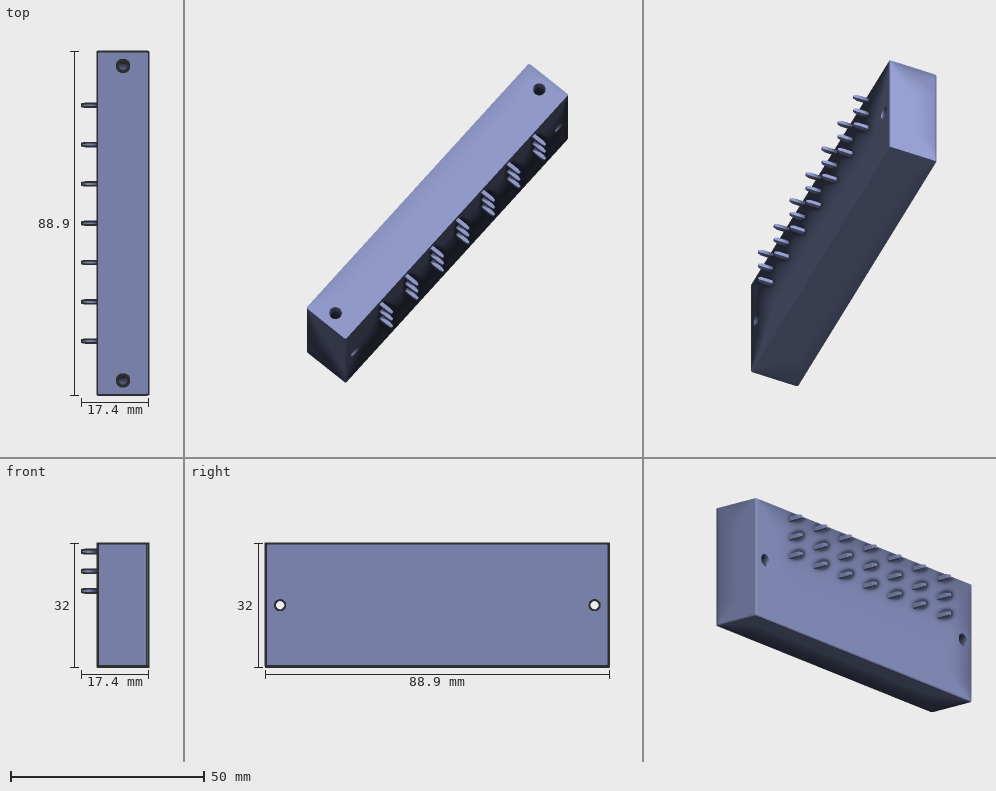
import cadquery as cq
import math

block_depth = 13.4
block_length = 88.88
block_height = 32.0
edge_chamfer = 0.25
back_chamfer = 0.55
bevel_height = 0.3
bevel_inset = 0.1

hole_spacing = 81.28
mouth_diameter = 3.3
bore_diameter = 2.6
lead_in_depth = 2.0
hole_height = block_height / 2
screw_hole_depth = block_height - hole_height

pin_columns = 7
pin_rows = 3
column_pitch = 10.16
row_pitch = 5.08
top_row_drop = 2.14
pin_width = 1.0
pin_height = 1.15
pin_length = 4.0
tip_inset = 0.2
tip_length = 1.0
pin_root = 0.5


def make_block():
    """Block with chamfered upright corners and a slight bevel around its foot."""
    half_length = block_length / 2
    flank_half_length = half_length - edge_chamfer
    outline = [
        (edge_chamfer, -half_length),
        (block_depth - back_chamfer, -half_length),
        (block_depth, -flank_half_length),
        (block_depth, flank_half_length),
        (block_depth - back_chamfer, half_length),
        (edge_chamfer, half_length),
        (0, flank_half_length),
        (0, -flank_half_length),
    ]
    bevel_angle = math.degrees(math.atan(bevel_inset / bevel_height))
    profile = cq.Workplane("XY").workplane(offset=bevel_height).polyline(outline).close()
    upper_block = profile.extrude(block_height - bevel_height)
    foot_profile = upper_block.faces("<Z").wires().toPending().workplane()
    return foot_profile.extrude(bevel_height, taper=bevel_angle)


def make_hole(start, direction, depth):
    """Cutter for a round hole with a long, steep lead-in at its mouth."""
    bore_radius = bore_diameter / 2
    mouth_radius = mouth_diameter / 2
    bore = cq.Solid.makeCylinder(bore_radius, depth, start, direction)
    lead_in = cq.Solid.makeCone(mouth_radius, bore_radius, lead_in_depth, start, direction)
    return bore.fuse(lead_in)


def make_pin(y, z):
    """Rectangular pin pointing along -X, rooted in the block and tapering at its tip."""
    shank_end = tip_length - pin_length
    shank = (
        cq.Workplane("YZ", origin=(shank_end, y, z))
        .rect(pin_width, pin_height)
        .extrude(pin_root - shank_end)
    )
    tip = (
        cq.Workplane("YZ", origin=(-pin_length, y, z))
        .rect(pin_width - 2 * tip_inset, pin_height - 2 * tip_inset)
        .workplane(offset=tip_length)
        .rect(pin_width, pin_height)
        .loft()
    )
    return shank.union(tip)


result = make_block()

for side in (-1, 1):
    hole_y = side * hole_spacing / 2
    cross_hole_start = cq.Vector(0, hole_y, hole_height)
    screw_hole_start = cq.Vector(block_depth / 2, hole_y, block_height)
    result = result.cut(make_hole(cross_hole_start, cq.Vector(1, 0, 0), block_depth))
    result = result.cut(make_hole(screw_hole_start, cq.Vector(0, 0, -1), screw_hole_depth))

for column in range(pin_columns):
    pin_y = (column - (pin_columns - 1) / 2) * column_pitch
    for row in range(pin_rows):
        pin_z = block_height - top_row_drop - row * row_pitch
        result = result.union(make_pin(pin_y, pin_z))